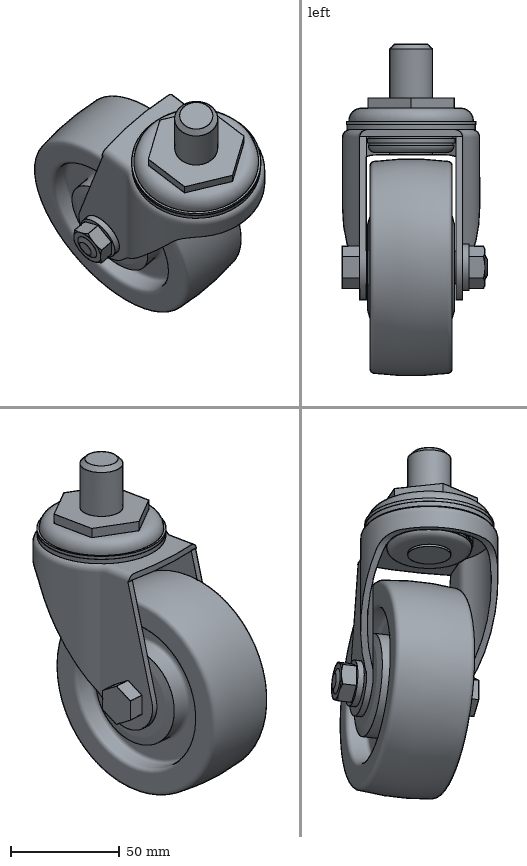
import cadquery as cq
import math

AXLE_X = -37.0
AXLE_RADIUS = 6.0

TREAD_RADIUS = 50.0
SHOULDER_RADIUS = 49.0
WHEEL_HALF_WIDTH = 19.0
SHOULDER_ROUND = 2.3
RECESS_RADIUS = 36.1
RECESS_LIP_ROUND = 2.1
RECESS_FLOOR_ROUND = 1.8
RECESS_FLOOR_HALF_WIDTH = 9.2
HUB_RADIUS = 24.0
HUB_FACE_RADIUS = 19.9
HUB_CONE_HALF_WIDTH = 18.8
HUB_HALF_WIDTH = 20.0
SPACER_RADIUS = 7.6

SHEET = 3.0
FORK_TOP = 63.5
SKIRT_RADIUS = 31.7
SKIRT_BOTTOM = 51.9
LEG_HALF_WIDTH = 23.7
LEG_END_RADIUS = 15.0
LEG_BLEND_RADIUS = 6.1
TOP_EDGE_ROUND = 3.5
LEG_FRONT_TOP_X = -36.1
SKIRT_CORNER_X = 17.0
SKIRT_CORNER_ROUND = 14.5
LIP_TIP_X = -38.9
LIP_SIDE_X = -37.5

STEM_RADIUS = 10.0
STEM_CHAMFER = 2.3
STEM_TOP = 103.0
HEX_TOP = 78.2
HEX_FLATS = 40.0
DOME_TOP = 73.5
DOME_RADIUS = 28.8
DOME_ROUND = 6.0
RIM_TOP = 67.3
RIM_RADIUS = 29.8
RIM_BOTTOM = 65.8
RACE_RADIUS = 29.7
CUP_RIM_RADIUS = 20.2
CUP_RIM_TOP = 59.4
CUP_RIM_BOTTOM = 57.4
CUP_NECK_RADIUS = 19.5
CUP_RADIUS = 19.7
CUP_BOTTOM = 53.0
CUP_ROUND = 3.2
PIN_END = 51.9

BOLT_FLATS = 17.0
BOLT_HEAD_END = 31.8
WASHER_RADIUS = 10.7
WASHER_THICKNESS = 3.0
NUT_END = 34.0
NUT_CHAMFER = 0.6
BOLT_TIP = 35.2
BOLT_TIP_RADIUS = 3.7

ROUND_MIDPOINT = math.sqrt(0.5)
HEX_CORNER_RATIO = 2 / math.sqrt(3)


def tangent_point(start_x, start_z, side):
    """Point where a line from the start touches the round leg end; side is +1 or -1."""
    dx = start_x - AXLE_X
    angle = math.atan2(start_z, dx) + side * math.acos(LEG_END_RADIUS / math.hypot(dx, start_z))
    return AXLE_X + LEG_END_RADIUS * math.cos(angle), LEG_END_RADIUS * math.sin(angle)


def quarter_mid(corner_radius, corner_y, toward_radius, toward_y, size):
    """Middle of a quarter round of the given size that replaces a sharp corner."""
    step = size * (1 - ROUND_MIDPOINT)
    return corner_radius + toward_radius * step, corner_y + toward_y * step


def wheel_side_cut(side):
    """Ring recess between hub and rim, on one side of the wheel (side is +1 or -1)."""
    lip = RECESS_LIP_ROUND
    floor_round = RECESS_FLOOR_ROUND
    floor = side * RECESS_FLOOR_HALF_WIDTH
    face = side * WHEEL_HALF_WIDTH
    outside = side * LEG_HALF_WIDTH
    floor_side = floor + side * floor_round
    profile = (
        cq.Workplane("XY")
        .moveTo(HUB_FACE_RADIUS, side * HUB_HALF_WIDTH)
        .lineTo(HUB_RADIUS, side * HUB_CONE_HALF_WIDTH)
        .lineTo(HUB_RADIUS, floor_side)
        .threePointArc(
            quarter_mid(HUB_RADIUS, floor, 1, side, floor_round),
            (HUB_RADIUS + floor_round, floor),
        )
        .lineTo(RECESS_RADIUS - floor_round, floor)
        .threePointArc(
            quarter_mid(RECESS_RADIUS, floor, -1, side, floor_round),
            (RECESS_RADIUS, floor_side),
        )
        .lineTo(RECESS_RADIUS, face - side * lip)
        .threePointArc(
            quarter_mid(RECESS_RADIUS, face, 1, -side, lip),
            (RECESS_RADIUS + lip, face),
        )
        .lineTo(RECESS_RADIUS + lip, outside)
        .lineTo(HUB_FACE_RADIUS, outside)
        .close()
    )
    return profile.revolve(360, (0, 0, 0), (0, 1, 0))


def make_wheel():
    """Crowned wheel with a ring recess and a coned hub on both sides."""
    face = WHEEL_HALF_WIDTH
    shoulder_y = face - SHOULDER_ROUND
    rim = (
        cq.Workplane("XY")
        .moveTo(HUB_RADIUS, -face)
        .lineTo(SHOULDER_RADIUS - SHOULDER_ROUND, -face)
        .threePointArc(
            quarter_mid(SHOULDER_RADIUS, -face, -1, 1, SHOULDER_ROUND),
            (SHOULDER_RADIUS, -shoulder_y),
        )
        .threePointArc((TREAD_RADIUS, 0), (SHOULDER_RADIUS, shoulder_y))
        .threePointArc(
            quarter_mid(SHOULDER_RADIUS, face, -1, -1, SHOULDER_ROUND),
            (SHOULDER_RADIUS - SHOULDER_ROUND, face),
        )
        .lineTo(HUB_RADIUS, face)
        .close()
        .revolve(360, (0, 0, 0), (0, 1, 0))
        .translate((AXLE_X, 0, 0))
    )
    hub = cylinder_along_y(HUB_RADIUS, -HUB_HALF_WIDTH, HUB_HALF_WIDTH)
    spacer_end = LEG_HALF_WIDTH - SHEET
    wheel = rim.union(hub)
    for side in (1, -1):
        wheel = wheel.cut(wheel_side_cut(side).translate((AXLE_X, 0, 0)))
    wheel = wheel.union(cylinder_along_y(SPACER_RADIUS, -spacer_end, spacer_end))
    return wheel.cut(cylinder_along_y(AXLE_RADIUS, -spacer_end, spacer_end))


def fork_block(inset):
    """Upright keyhole-shaped block, set in from the outer sheet surface."""
    bottom = -LEG_END_RADIUS
    height = FORK_TOP - inset - bottom
    skirt = cq.Workplane("XY").workplane(offset=bottom).circle(SKIRT_RADIUS - inset).extrude(height)
    leg_length = 2 * abs(AXLE_X)
    legs = (
        cq.Workplane("XY")
        .workplane(offset=bottom)
        .center(-leg_length / 2, 0)
        .rect(leg_length, 2 * (LEG_HALF_WIDTH - inset))
        .extrude(height)
    )
    block = skirt.union(legs)
    neck_x = -math.sqrt(SKIRT_RADIUS**2 - LEG_HALF_WIDTH**2)
    neck_edges = cq.selectors.BoxSelector(
        (neck_x - SHEET, -SKIRT_RADIUS, bottom), (neck_x + SHEET, SKIRT_RADIUS, FORK_TOP)
    )
    return block.edges("|Z").edges(neck_edges).fillet(LEG_BLEND_RADIUS + inset)


def fork_side_outline():
    """Side shape of legs and skirt: slanted edges running tangent into the round leg ends."""
    front = tangent_point(LEG_FRONT_TOP_X, FORK_TOP, 1)
    rear = tangent_point(SKIRT_CORNER_X, SKIRT_BOTTOM, -1)
    outline = (
        cq.Workplane("XZ")
        .moveTo(LEG_FRONT_TOP_X, FORK_TOP)
        .lineTo(*front)
        .threePointArc((AXLE_X, -LEG_END_RADIUS), rear)
        .lineTo(SKIRT_CORNER_X, SKIRT_BOTTOM)
        .lineTo(SKIRT_RADIUS, SKIRT_BOTTOM)
        .lineTo(SKIRT_RADIUS, FORK_TOP)
        .close()
        .extrude(SKIRT_RADIUS, both=True)
    )
    corner = cq.selectors.NearestToPointSelector((SKIRT_CORNER_X, 0, SKIRT_BOTTOM))
    return outline.edges(corner).fillet(SKIRT_CORNER_ROUND)


def fork_lip_outline():
    """Top sheet outline: its front end bows gently past the legs."""
    side = LEG_HALF_WIDTH - SHEET
    return (
        cq.Workplane("XY")
        .workplane(offset=FORK_TOP - SHEET)
        .moveTo(0, -LEG_HALF_WIDTH)
        .lineTo(LIP_SIDE_X, -LEG_HALF_WIDTH)
        .lineTo(LIP_SIDE_X, -side)
        .threePointArc((LIP_TIP_X, 0), (LIP_SIDE_X, side))
        .lineTo(LIP_SIDE_X, LEG_HALF_WIDTH)
        .lineTo(0, LEG_HALF_WIDTH)
        .close()
        .extrude(SHEET)
    )


def make_fork():
    """Bent sheet fork with holes for the swivel pin and the axle."""
    block = fork_block(0)
    block = block.faces(">Z").edges("not <X").fillet(TOP_EDGE_ROUND)
    shell = block.cut(fork_block(SHEET))
    outline = fork_side_outline().union(fork_lip_outline())
    fork = shell.intersect(outline)
    pin_hole = cq.Workplane("XY").circle(STEM_RADIUS).extrude(FORK_TOP)
    return fork.cut(pin_hole).cut(cylinder_along_y(AXLE_RADIUS, -SKIRT_RADIUS, SKIRT_RADIUS))


def make_swivel():
    """Threaded stem, hexagon, domed cap, pin and lower bearing cup turned as one piece."""
    cap_round = DOME_ROUND * ROUND_MIDPOINT
    cup_round = CUP_ROUND * ROUND_MIDPOINT
    dome_edge = DOME_RADIUS - DOME_ROUND
    cup_edge = CUP_RADIUS - CUP_ROUND
    turned = (
        cq.Workplane("XZ")
        .moveTo(0, PIN_END)
        .lineTo(STEM_RADIUS, PIN_END)
        .lineTo(STEM_RADIUS, CUP_BOTTOM)
        .lineTo(cup_edge, CUP_BOTTOM)
        .threePointArc(
            (cup_edge + cup_round, CUP_BOTTOM + CUP_ROUND - cup_round),
            (CUP_RADIUS, CUP_BOTTOM + CUP_ROUND),
        )
        .lineTo(CUP_NECK_RADIUS, CUP_BOTTOM + CUP_ROUND)
        .lineTo(CUP_NECK_RADIUS, CUP_RIM_BOTTOM)
        .lineTo(CUP_RIM_RADIUS, CUP_RIM_BOTTOM)
        .lineTo(CUP_RIM_RADIUS, CUP_RIM_TOP)
        .lineTo(CUP_NECK_RADIUS, CUP_RIM_TOP)
        .lineTo(CUP_NECK_RADIUS, FORK_TOP - SHEET)
        .lineTo(STEM_RADIUS, FORK_TOP - SHEET)
        .lineTo(STEM_RADIUS, FORK_TOP)
        .lineTo(RACE_RADIUS, FORK_TOP)
        .lineTo(RACE_RADIUS, RIM_BOTTOM)
        .lineTo(RIM_RADIUS, RIM_BOTTOM)
        .lineTo(RIM_RADIUS, RIM_TOP)
        .lineTo(DOME_RADIUS, RIM_TOP)
        .lineTo(DOME_RADIUS, DOME_TOP - DOME_ROUND)
        .threePointArc(
            (dome_edge + cap_round, DOME_TOP - DOME_ROUND + cap_round),
            (dome_edge, DOME_TOP),
        )
        .lineTo(STEM_RADIUS, DOME_TOP)
        .lineTo(STEM_RADIUS, STEM_TOP - STEM_CHAMFER)
        .lineTo(STEM_RADIUS - STEM_CHAMFER, STEM_TOP)
        .lineTo(0, STEM_TOP)
        .close()
        .revolve(360, (0, 0, 0), (0, 1, 0))
    )
    hexagon = (
        cq.Workplane("XY")
        .workplane(offset=DOME_TOP)
        .polygon(6, HEX_FLATS * HEX_CORNER_RATIO)
        .extrude(HEX_TOP - DOME_TOP)
    )
    return turned.union(hexagon)


def axle_plane(start_y):
    """Plane across the axle at the given Y, facing -Y."""
    return cq.Workplane("XZ", origin=(AXLE_X, start_y, 0))


def cylinder_along_y(radius, low_y, high_y):
    return axle_plane(high_y).circle(radius).extrude(high_y - low_y)


def hexagon_along_y(low_y, high_y):
    """Bolt or nut hexagon with corners pointing up and down."""
    prism = axle_plane(high_y).polygon(6, BOLT_FLATS * HEX_CORNER_RATIO).extrude(high_y - low_y)
    return prism.rotate((AXLE_X, 0, 0), (AXLE_X, 1, 0), 90)


def make_axle():
    """Bolt through legs and wheel, with washer and nut on the -Y side."""
    head = hexagon_along_y(LEG_HALF_WIDTH, BOLT_HEAD_END)
    shaft = cylinder_along_y(AXLE_RADIUS, -NUT_END, LEG_HALF_WIDTH)
    tip = (
        axle_plane(-NUT_END)
        .circle(AXLE_RADIUS)
        .workplane(offset=BOLT_TIP - NUT_END)
        .circle(BOLT_TIP_RADIUS)
        .loft()
    )
    washer_end = LEG_HALF_WIDTH + WASHER_THICKNESS
    washer = cylinder_along_y(WASHER_RADIUS, -washer_end, -LEG_HALF_WIDTH)
    corner_cut_radius = BOLT_FLATS * HEX_CORNER_RATIO / 2
    corner_cut = cylinder_along_y(corner_cut_radius, -NUT_END, -washer_end)
    corner_cut = corner_cut.faces("<Y").edges().chamfer(NUT_CHAMFER, 2 * NUT_CHAMFER)
    nut = hexagon_along_y(-NUT_END, -washer_end).intersect(corner_cut)
    return head.union(shaft).union(tip).union(washer).union(nut)


swivel = make_swivel()
fork = make_fork()
wheel = make_wheel()
axle = make_axle()

result = cq.Compound.makeCompound([swivel.val(), fork.val(), wheel.val(), axle.val()])